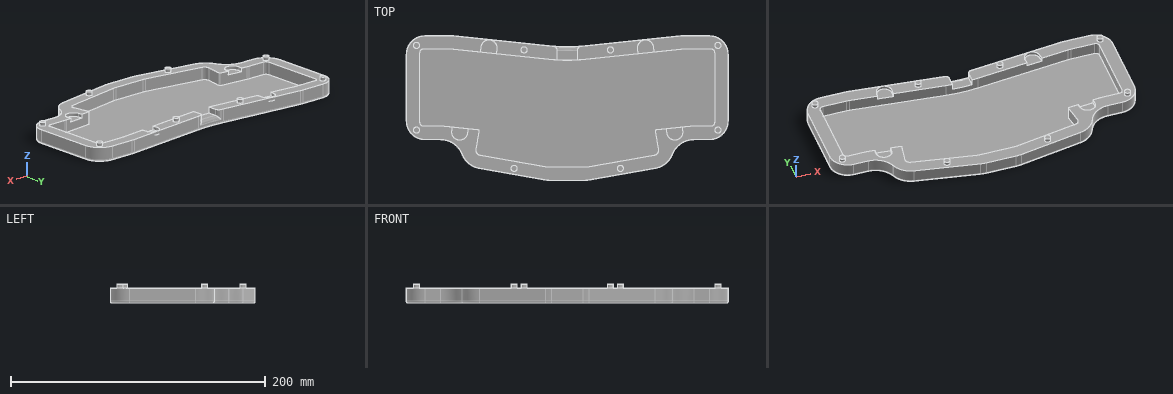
import cadquery as cq
import math


length = 253.5
depth = 114.0
body_height = 12.0
floor_thickness = 1.5
bottom_round = 1.5
half_length = length / 2

back_angle = 6.0
front_angle = 10.0
back_tan = math.tan(math.radians(back_angle))
front_tan = math.tan(math.radians(front_angle))

corner_radius = 15.0
bend_radius = 27.0
back_bend_x = 89.5
back_center_radius = 126.8
wing_front_y = 32.2
shoulder_x = 87.5
shoulder_radius = 18.0
hip_x = 79.0
hip_radius = 18.0
front_bend_x = 14.7

side_wall = 10.6
back_wall = 10.5
front_wall = 10.6
pocket_radius = 3.0
pocket_back_bend_x = 92.0
pocket_center_radius = 126.8
pocket_back_bend_radius = 25.4
pocket_front_bend_x = 15.7
pocket_front_bend_radius = 16.2
pocket_wing_bend_x = 96.9
pocket_wing_bend_radius = 16.5
step_x = 69.2
step_radius = 0.5
pocket_hip_x = 72.5
pocket_hip_radius = 4.0

pin_diameter = 4.8
pin_height = 3.0
pin_places = [(118.7, 106.5), (118.7, 39.8), (34.0, 103.0), (41.8, 9.6)]

recess_radius = 6.3
recess_depth = 3.0
back_recess_center = (61.5, 104.5)
front_recess_center = (84.7, 38.3)

notch_width = 16.2
notch_depth = 5.0
notch_round = 3.0
edge_margin = 0.3


def rounded_outline(corners):
    """Closed wire through (x, y, radius) corners, each rounded by a tangent arc."""
    path = None
    count = len(corners)
    for i, (x, y, radius) in enumerate(corners):
        corner = cq.Vector(x, y)
        before = (cq.Vector(*corners[i - 1][:2]) - corner).normalized()
        after = (cq.Vector(*corners[(i + 1) % count][:2]) - corner).normalized()
        half_angle = before.getAngle(after) / 2
        reach = radius / math.tan(half_angle)
        arc_start = corner + before * reach
        arc_end = corner + after * reach
        to_arc = radius / math.sin(half_angle) - radius
        arc_middle = corner + (before + after).normalized() * to_arc
        if path is None:
            path = cq.Workplane("XY").moveTo(arc_start.x, arc_start.y)
        else:
            path = path.lineTo(arc_start.x, arc_start.y)
        path = path.threePointArc((arc_middle.x, arc_middle.y), (arc_end.x, arc_end.y))
    return path.close()


def mirrored(half):
    """Full corner loop from the +X corners, listed from the middle back to the middle front."""
    other_half = [(-x, y, radius) for x, y, radius in reversed(half)]
    return half + other_half


def make_body():
    back_center = (0, depth - back_bend_x * back_tan, back_center_radius)
    half = [
        (back_bend_x, depth, bend_radius),
        (half_length, depth, corner_radius),
        (half_length, wing_front_y, corner_radius),
        (shoulder_x, wing_front_y, shoulder_radius),
        (hip_x, (hip_x - front_bend_x) * front_tan, hip_radius),
        (front_bend_x, 0, bend_radius),
    ]
    outline = rounded_outline([back_center] + mirrored(half))
    return outline.extrude(body_height).faces("<Z").edges().fillet(bottom_round)


def make_pocket():
    back_y = depth - back_wall
    side_x = half_length - side_wall
    wing_y = wing_front_y + front_wall
    step_y = wing_y - (pocket_wing_bend_x - step_x) * back_tan
    hip_y = front_wall + (pocket_hip_x - pocket_front_bend_x) * front_tan
    back_center = (0, back_y - pocket_back_bend_x * back_tan, pocket_center_radius)
    half = [
        (pocket_back_bend_x, back_y, pocket_back_bend_radius),
        (side_x, back_y, pocket_radius),
        (side_x, wing_y, pocket_radius),
        (pocket_wing_bend_x, wing_y, pocket_wing_bend_radius),
        (step_x, step_y, step_radius),
        (pocket_hip_x, hip_y, pocket_hip_radius),
        (pocket_front_bend_x, front_wall, pocket_front_bend_radius),
    ]
    outline = rounded_outline([back_center] + mirrored(half))
    return outline.extrude(body_height).translate((0, 0, floor_thickness))


def make_recess(center, side, opens_toward):
    """Round-ended cutter square to the sloped wall; opens_toward is the Y sense of its open end."""
    width = 2 * recess_radius
    round_end = cq.Workplane("XY").circle(recess_radius).extrude(recess_depth)
    open_end = (
        cq.Workplane("XY")
        .center(0, opens_toward * width / 2)
        .rect(width, width)
        .extrude(recess_depth)
    )
    cutter = round_end.union(open_end).rotate((0, 0, 0), (0, 0, 1), side * back_angle)
    return cutter.translate((side * center[0], center[1], body_height - recess_depth))


def cut_notch(tray):
    """Cut the back wall at the middle and round the notch's outer edges."""
    wall_middle_y = depth - back_bend_x * back_tan - back_wall / 2
    floor_z = body_height - notch_depth
    notch = (
        cq.Workplane("XY", origin=(0, wall_middle_y, floor_z))
        .rect(notch_width, 2 * back_wall)
        .extrude(notch_depth)
    )
    outer_edges = cq.selectors.BoxSelector(
        (-notch_width, wall_middle_y + back_wall / 4, floor_z - edge_margin),
        (notch_width, depth, body_height - edge_margin),
    )
    return tray.cut(notch).edges(outer_edges).fillet(notch_round)


def make_pins():
    places = [(side * x, y) for x, y in pin_places for side in (-1, 1)]
    return (
        cq.Workplane("XY", origin=(0, 0, body_height))
        .pushPoints(places)
        .circle(pin_diameter / 2)
        .extrude(pin_height)
    )


tray = cut_notch(make_body().cut(make_pocket()))
for side in (-1, 1):
    tray = tray.cut(make_recess(back_recess_center, side, -1))
    tray = tray.cut(make_recess(front_recess_center, side, 1))
result = tray.union(make_pins())